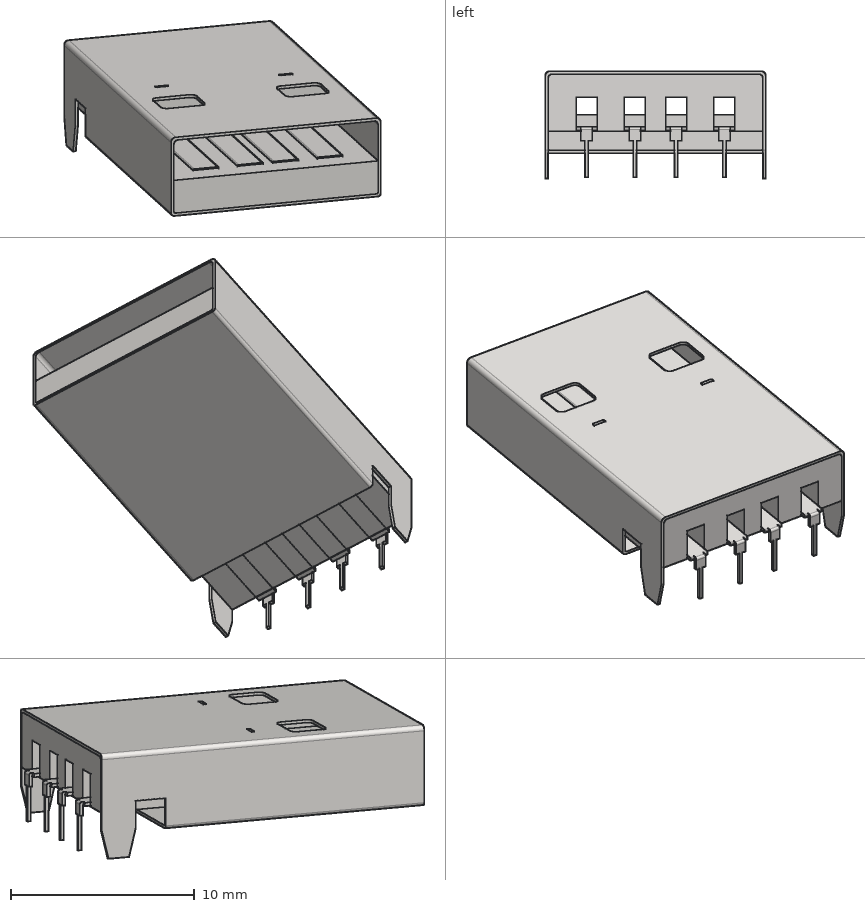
import cadquery as cq


shell_length = 18.88
shell_width = 12.0
shell_height = 4.48
wall = 0.165
shell_top_radius = 0.27
shell_bottom_radius = 0.2
cavity_top_radius = 0.23
cavity_bottom_radius = 0.1

leg_width = 1.98
leg_taper = 0.39
leg_drop = 1.38
leg_taper_top = 0.2
notch_end = 3.75
notch_top = 1.73

opening_y = 3.55
window_start = 11.62
window_length = 2.08
window_width = 2.5
window_radius = 0.35
slit_start = 9.58
slit_length = 0.2
slit_width = 0.74
slit_radius = 0.08

block_length = 10.09
relief_length = 5.82
block_bottom = 1.2
tongue_top = 2.04
slot_top = 3.05

contact_thickness = 0.2
contact_bottom = 1.26
contact_edge_radius = 0.068
shoulder_edge_radius = 0.05
contact_proud = 0.08
rear_width = 1.13
rear_pitch = [-3.75, -1.13, 1.13, 3.75]
blade_width = 1.47
blade_pitch = [-3.55, -1.0, 1.0, 3.55]
blade_end = 17.46
tail_reach = 0.52
tail_bend_radius = 0.14
neck_width = 0.62
neck_bottom = 0.68
pin_width = 0.2
pin_bottom = -1.3

roof_z = (shell_height - wall, shell_height)
shell_inner_width = shell_width - 2 * wall
blade_top = tongue_top + contact_proud
blade_bottom = blade_top - contact_thickness
contact_top = contact_bottom + contact_thickness
riser_start = relief_length - contact_thickness
shoulder_end = contact_thickness - tail_reach


def box(x_range, y_range, z_range):
    """Axis-aligned box between the given (low, high) limits."""
    limits = (x_range, y_range, z_range)
    size = [high - low for low, high in limits]
    low_corner = tuple(low for low, high in limits)
    return cq.Workplane("XY").box(*size, centered=False).translate(low_corner)


def centred(middle, width):
    """Limits of a span of the given width about its middle."""
    return (middle - width / 2, middle + width / 2)


def rounded_bar(inset, top_radius, bottom_radius):
    """Full-length bar with the shell's section, shrunk all round by inset."""
    bar = box(
        (0, shell_length),
        centred(0, shell_width - 2 * inset),
        (inset, shell_height - inset),
    )
    bar = bar.edges("|X and >Z").fillet(top_radius)
    return bar.edges("|X and <Z").fillet(bottom_radius)


def make_cavity():
    """Space enclosed by the shell walls."""
    return rounded_bar(wall, cavity_top_radius, cavity_bottom_radius)


def make_legs():
    """Tapered mounting legs that continue both side walls downwards."""
    outline = [
        (0, notch_top),
        (0, leg_taper_top),
        (leg_taper, -leg_drop),
        (leg_width - leg_taper, -leg_drop),
        (leg_width, leg_taper_top),
        (leg_width, notch_top),
    ]
    plates = cq.Workplane("XZ").polyline(outline).close().extrude(shell_width / 2, both=True)
    core = box((0, leg_width), centred(0, shell_inner_width), (-leg_drop, notch_top))
    return plates.cut(core)


def make_windows():
    """Cutters for the two latch windows in the roof."""
    windows = cq.Workplane("XY")
    for side in (-1, 1):
        window = box(
            (window_start, window_start + window_length),
            centred(side * opening_y, window_width),
            roof_z,
        )
        windows = windows.add(window.edges("|Z").fillet(window_radius))
    return windows.combine()


def make_bosses():
    """Two small bosses, as thick as the roof, that plug the slits behind the windows."""
    bosses = cq.Workplane("XY")
    for side in (-1, 1):
        boss = box(
            (slit_start, slit_start + slit_length),
            centred(side * opening_y, slit_width),
            roof_z,
        )
        bosses = bosses.add(boss.edges("|Z and >X").fillet(slit_radius))
    return bosses.combine()


def make_shell():
    tube = rounded_bar(0, shell_top_radius, shell_bottom_radius).cut(make_cavity())
    rear_clearance = box((0, notch_end), centred(0, shell_width), (0, notch_top))
    folded = tube.cut(rear_clearance).union(make_legs())
    return folded.cut(make_windows()).cut(make_bosses())


def make_insulator():
    """Rear block and tongue filling the shell, with contact slots, blade grooves and roof bosses."""
    full_width = centred(0, shell_width)
    body = make_cavity()
    body = body.cut(box((0, relief_length), full_width, (0, block_bottom)))
    body = body.cut(box((block_length, shell_length), full_width, (tongue_top, shell_height)))
    for rear_y, blade_y in zip(rear_pitch, blade_pitch):
        rear_span = centred(rear_y, rear_width)
        rear_slot = box((0, relief_length), rear_span, (contact_bottom, slot_top))
        upper_slot = box((relief_length, block_length), rear_span, (blade_bottom, slot_top))
        groove = box((block_length, blade_end), centred(blade_y, blade_width), (blade_bottom, tongue_top))
        body = body.cut(rear_slot).cut(upper_slot).cut(groove)
    return body.union(make_bosses())


def make_contact(rear_y, blade_y):
    """One contact: pin, neck and bend, low strip, riser, high strip and the wide blade."""
    rear_span = centred(rear_y, rear_width)
    neck_span = centred(rear_y, neck_width)
    tail_x = (-tail_reach, shoulder_end)
    blade_z = (blade_bottom, blade_top)

    low_strip = box((shoulder_end, relief_length), rear_span, (contact_bottom, contact_top))
    low_strip = low_strip.edges("|Y and >Z and <X").fillet(shoulder_edge_radius)
    bend = box((-tail_reach, 0), neck_span, (contact_bottom, contact_top))
    bend = bend.edges("|Y and >Z and <X").fillet(tail_bend_radius)
    neck = box(tail_x, neck_span, (neck_bottom, contact_bottom))
    pin = box(tail_x, centred(rear_y, pin_width), (pin_bottom, neck_bottom))
    riser = box((riser_start, relief_length), rear_span, (contact_bottom, blade_top))
    high_strip = box((relief_length, block_length), rear_span, blade_z)
    blade = box((block_length, blade_end), centred(blade_y, blade_width), blade_z)
    blade = blade.edges("|X and >Z").fillet(contact_edge_radius)

    contact = low_strip
    for piece in (bend, neck, pin, riser, high_strip, blade):
        contact = contact.union(piece)
    return contact


shell = make_shell()
insulator = make_insulator()
contacts = [make_contact(rear_y, blade_y) for rear_y, blade_y in zip(rear_pitch, blade_pitch)]

result = cq.Compound.makeCompound(
    [shell.val(), insulator.val(), *[contact.val() for contact in contacts]]
)